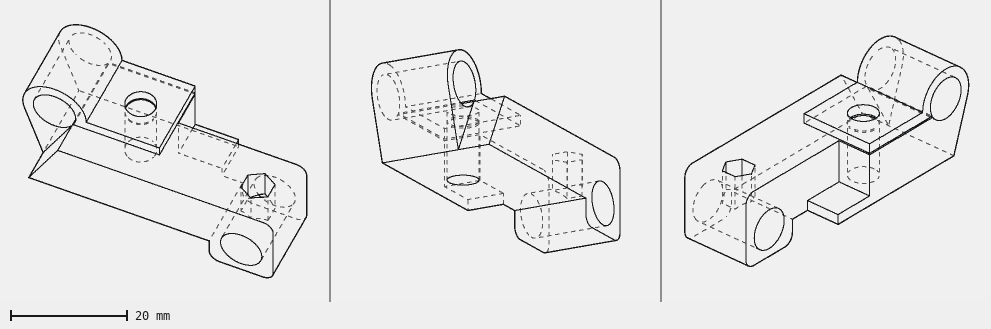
import cadquery as cq
import math

total_width = 21.0
body_width = 14.0
clamp_width = 14.95
clamp_front = total_width - clamp_width

eye_radius = 6.0
eye_bore_radius = 4.0
tab_thickness = 1.9
tab_end_x = 19.75
slot_gap = 0.3
ledge_end_x = 27.95
ledge_thickness = 2.0
screw_radius = 2.75
screw_x = 12.85
screw_y = clamp_front + clamp_width / 2

total_length = 49.85
total_height = 23.15
body_end_x = total_length - eye_radius
body_top_z = -tab_thickness - slot_gap
body_bottom_z = -12.45
foot_bottom_z = eye_radius - total_height
tip_x = -2.15
foot_length = 12.05
foot_start_x = body_end_x - foot_length
corner_radius = 2.0

cross_bore_radius = 3.9
cross_bore_x = body_end_x - foot_length / 2
cross_bore_z = -11.65
hex_across_corners = 5.9

body_top_start_x = math.sqrt(eye_bore_radius**2 - body_top_z**2)


def extrude_along_y(profile, start_y, width):
    """Extrude an XZ profile toward +Y, beginning at start_y."""
    return profile.extrude(-width).translate((0, start_y, 0))


def make_body():
    profile = cq.Workplane("XZ").polyline([
        (tip_x, body_bottom_z),
        (foot_start_x, body_bottom_z),
        (foot_start_x, foot_bottom_z),
        (body_end_x, foot_bottom_z),
        (body_end_x, body_top_z),
        (body_top_start_x, body_top_z),
    ]).close()
    body = extrude_along_y(profile, 0, body_width)
    body = body.edges("|Y and >X").fillet(corner_radius)
    foot_corner = cq.selectors.NearestToPointSelector((foot_start_x, body_width / 2, foot_bottom_z))
    return body.edges(foot_corner).fillet(corner_radius)


def make_clamp():
    tip_distance = math.hypot(tip_x, body_bottom_z)
    tip_angle = math.atan2(body_bottom_z, tip_x)
    tangent_angle = tip_angle - math.acos(eye_radius / tip_distance)
    tangent_x = eye_radius * math.cos(tangent_angle)
    tangent_z = eye_radius * math.sin(tangent_angle)
    profile = (
        cq.Workplane("XZ")
        .moveTo(tip_x, body_bottom_z)
        .lineTo(tangent_x, tangent_z)
        .threePointArc((0, eye_radius), (eye_radius, 0))
        .lineTo(tab_end_x, 0)
        .lineTo(tab_end_x, -tab_thickness)
        .lineTo(0, -tab_thickness)
        .lineTo(0, body_top_z)
        .lineTo(tab_end_x, body_top_z)
        .lineTo(tab_end_x, body_bottom_z + ledge_thickness)
        .lineTo(ledge_end_x, body_bottom_z + ledge_thickness)
        .lineTo(ledge_end_x, body_bottom_z)
        .close()
    )
    return extrude_along_y(profile, clamp_front, clamp_width)


def cut_holes(part):
    eye_bore = extrude_along_y(cq.Workplane("XZ").circle(eye_bore_radius), clamp_front, clamp_width)
    cross_bore = extrude_along_y(
        cq.Workplane("XZ").center(cross_bore_x, cross_bore_z).circle(cross_bore_radius), 0, body_width
    )
    screw_hole = (
        cq.Workplane("XY", origin=(screw_x, screw_y, body_bottom_z))
        .circle(screw_radius)
        .extrude(-body_bottom_z)
    )
    hex_pocket = (
        cq.Workplane("XY")
        .polygon(6, hex_across_corners)
        .extrude(body_top_z - cross_bore_z)
        .rotate((0, 0, 0), (0, 0, 1), 90)
        .translate((cross_bore_x, body_width / 2, cross_bore_z))
    )
    return part.cut(eye_bore).cut(cross_bore).cut(screw_hole).cut(hex_pocket)


result = cut_holes(make_body().union(make_clamp()))